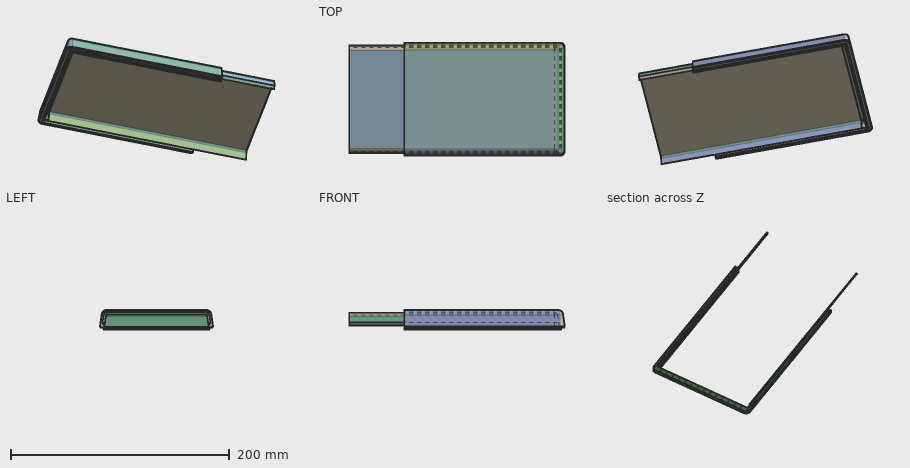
import cadquery as cq
import math

total_length = 197.2
cover_width = 103.5
cover_height = 18.1
draft_angle = 8.0
draft_slope = math.tan(math.radians(draft_angle))

cover_start = 50.5
wall_radius = 4.7
top_fillet = 5.1
lip_height = 1.8
lip_inset = 3.2
lip_chamfer = 0.5
lip_radius = wall_radius - lip_inset
rim_top = 3.0
rim_angle = 30.0
trim_length = 9.9

roof_thickness = 2.0
cavity_top = cover_height - roof_thickness
opening_half_width = 47.3
opening_end = 193.0
end_bevel = 1.0
end_wall_foot = lip_height + end_bevel
cavity_end_fillet = 4.3

slider_top = 15.5
slider_thickness = 2.0
slider_half_width = 49.3
leg_bevel_top = 6.7
leg_tip_height = 3.5
leg_tip_half_width = 47.5
slider_fillet = 3.7
slider_inner_fillet = slider_fillet - slider_thickness
slider_end = 187.4


def rounded_end_slab(inset, radius, start, bottom, height, taper=0.0):
    """Slab from X = start to the closed end, with the two corners there rounded."""
    end = total_length - inset
    outline = (
        cq.Sketch()
        .rect(end - start, cover_width - 2 * inset)
        .vertices(">X")
        .fillet(radius)
    )
    return (
        cq.Workplane("XY", origin=((start + end) / 2, 0, bottom))
        .placeSketch(outline)
        .extrude(height, taper=taper)
    )


def squared_off(block):
    """Cut a drafted block back to a flat face at the open end of the cover."""
    keep_length = total_length - cover_start
    keep = cq.Workplane("XY").box(keep_length, cover_width, cover_height, centered=(False, True, False))
    return block.intersect(keep.translate((cover_start, 0, 0)))


def drafted_walls():
    """Outer block above the rim: walls leaning inward and a rounded top edge."""
    wall_height = cover_height - rim_top
    block = rounded_end_slab(0, wall_radius, cover_start - trim_length, rim_top, wall_height, draft_angle)
    return squared_off(block.faces(">Z").edges("not <X").fillet(top_fillet))


def undercut_rim():
    """Narrow band below the widest level, sloping inward down to the lip."""
    rim_height = rim_top - lip_height
    band = rounded_end_slab(0, wall_radius, cover_start - trim_length, rim_top, -rim_height, rim_angle)
    return squared_off(band)


def prism_along_x(right_half, start, end):
    """Prism whose section mirrors the given (y, z) points about Y = 0."""
    left_half = [(-y, z) for y, z in reversed(right_half)]
    return (
        cq.Workplane("YZ", origin=(start, 0, 0))
        .polyline(right_half + left_half)
        .close()
        .extrude(end - start)
    )


def slideway(top, start, end):
    """Filled section of the slider up to the given top height, bevelled at the feet."""
    top_half_width = slider_half_width - (top - leg_bevel_top) * draft_slope
    right_half = [
        (leg_tip_half_width, leg_tip_height),
        (slider_half_width, leg_bevel_top),
        (top_half_width, top),
    ]
    prism = prism_along_x(right_half, start, end)
    return prism.edges("|X and >Z").fillet(slider_fillet)


def cover_cavity():
    """Slideway plus the opening below it, limited by the drafted inner end wall."""
    bore = slideway(cavity_top, cover_start, total_length)
    opening = (
        cq.Workplane("XY")
        .box(total_length - cover_start, 2 * opening_half_width, leg_bevel_top, centered=(False, True, False))
        .translate((cover_start, 0, 0))
    )
    foot_end = opening_end - end_bevel
    top_end = foot_end - (cavity_top - end_wall_foot) * draft_slope
    end_limit = (
        cq.Workplane("XZ")
        .moveTo(cover_start, 0)
        .lineTo(opening_end, 0)
        .lineTo(opening_end, lip_height)
        .lineTo(foot_end, end_wall_foot)
        .lineTo(top_end, cavity_top)
        .lineTo(cover_start, cavity_top)
        .close()
        .extrude(cover_width / 2, both=True)
        .edges("|Y and >Z")
        .edges(">X")
        .fillet(cavity_end_fillet)
    )
    return bore.union(opening).intersect(end_limit)


def make_cover():
    lip = rounded_end_slab(lip_inset, lip_radius, cover_start, 0, lip_height)
    lip = lip.faces("<Z").edges("not <X").chamfer(lip_chamfer)
    return drafted_walls().union(undercut_rim()).union(lip).cut(cover_cavity())


def make_slider():
    inner_top = slider_top - slider_thickness
    inner_half_width = leg_tip_half_width - (inner_top - leg_tip_height) * draft_slope
    hollow_section = [
        (leg_tip_half_width, leg_tip_height),
        (inner_half_width, inner_top),
    ]
    hollow = prism_along_x(hollow_section, 0, slider_end)
    hollow = hollow.edges("|X and >Z").fillet(slider_inner_fillet)
    return slideway(slider_top, 0, slider_end).cut(hollow)


cover = make_cover()
slider = make_slider()

result = cq.Compound.makeCompound([cover.solids().val(), slider.solids().val()])